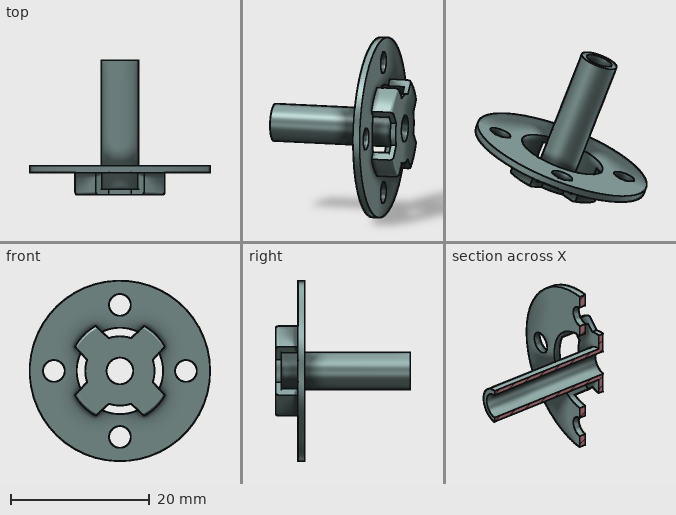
import cadquery as cq
import math

flange_diameter = 26.0
flange_thickness = 1.0
mount_hole_diameter = 3.1
mount_hole_radius = 9.5
mount_hole_count = 4

cap_height = 3.2
cap_radius = 7.35
cap_fillet = 0.5
web_thickness = 0.8
web_radius = 5.0
cavity_radius = 6.2

window_count = 4
window_half_angle = 47.5
window_half_width_at_web = 1.6
window_overrun = 1.0

tube_diameter = 5.4
bore_diameter = 3.8
tube_length = 15.2

flange_back = cap_height + flange_thickness
total_length = flange_back + tube_length


def cylinder(radius, y_start, y_end):
    """Solid cylinder along Y between two Y positions."""
    plane = cq.Workplane("XZ", origin=(0, y_start, 0))
    return plane.circle(radius).extrude(y_start - y_end)


def make_flange():
    flange = cylinder(flange_diameter / 2, cap_height, flange_back)
    for index in range(mount_hole_count):
        angle = math.radians(index * 360 / mount_hole_count)
        x = mount_hole_radius * math.cos(angle)
        z = mount_hole_radius * math.sin(angle)
        hole = cylinder(mount_hole_diameter / 2, cap_height, flange_back)
        flange = flange.cut(hole.translate((x, 0, z)))
    return flange


def make_window():
    """Wedge on the +X side that opens outward, bounded inside by the web rim."""
    x_inner = math.sqrt(web_radius**2 - window_half_width_at_web**2)
    x_outer = cap_radius + window_overrun
    taper = math.tan(math.radians(window_half_angle))
    half_width_outer = window_half_width_at_web + (x_outer - x_inner) * taper
    wedge = (
        cq.Workplane("XZ")
        .moveTo(0, -window_half_width_at_web)
        .lineTo(x_inner, -window_half_width_at_web)
        .lineTo(x_outer, -half_width_outer)
        .lineTo(x_outer, half_width_outer)
        .lineTo(x_inner, window_half_width_at_web)
        .lineTo(0, window_half_width_at_web)
        .close()
        .extrude(-cap_height)
    )
    return wedge.cut(cylinder(web_radius, 0, cap_height))


def make_cap():
    cap = cylinder(cap_radius, 0, cap_height).faces("<Y").edges().fillet(cap_fillet)
    window = make_window()
    for index in range(window_count):
        angle = index * 360 / window_count
        cap = cap.cut(window.rotate((0, 0, 0), (0, 1, 0), angle))
    return cap


def make_tube():
    return cylinder(tube_diameter / 2, web_thickness, total_length)


cavity = cylinder(cavity_radius, web_thickness, flange_back)
bore = cylinder(bore_diameter / 2, 0, total_length)

result = make_flange().union(make_cap()).cut(cavity).union(make_tube()).cut(bore)